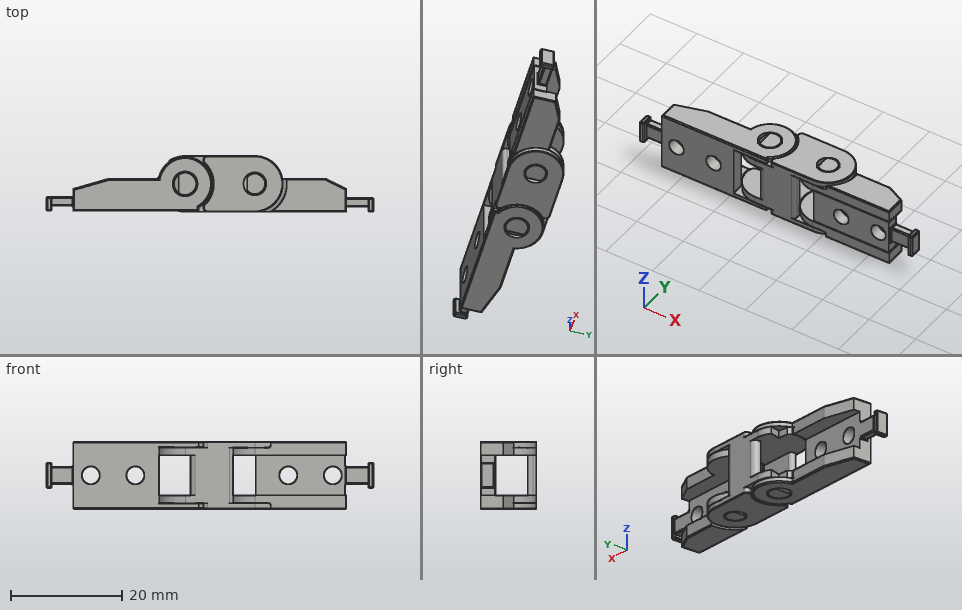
import cadquery as cq
import math


half_length = 29.4
half_width = 6.05

pivot_y = 5.025
knuckle_radius = pivot_y
left_pivot_x = -4.45
right_pivot_x = 8.05
clearance_radius = 5.15
boss_play = 0.25
left_hole_radius = 2.25
left_bevel_offset = 1.1
left_bevel_drop = 0.45
right_hole_radius = 2.05
right_flat_offset = 1.35

channel_half = 3.6
link_split_z = 5.0
layer_play = 0.05

arm_back_y = 5.95
arm_tip_y = 4.1
floor_thickness = 2.5
screw_radius = 1.6
screw_pitch = 8.0

left_tip_x = -24.55
left_slope_x = -18.2
left_front_y = 0.2
left_head_radius = pivot_y - left_front_y
left_foot_x = -2.05
left_window_x = -9.1
left_screw_x = -21.4
left_chamfer = 0.25

right_tip_x = 24.45
right_slope_x = 20.75
right_floor_x = 8.15
right_shoulder_radius = 5.75
right_shoulder_fillet = 0.35
right_screw_x = 22.05
right_chamfer = 0.2
panel_recess = 0.2

link_back_y = 2 * pivot_y
wall_thickness = 1.6
wall_left_x = -3.5
wall_right_x = 4.2
wall_right_round = 0.7
front_nose_radius = wall_thickness / 2
back_nose_radius = 1.2
horn_x = -1.2
horn_round = 0.7
horn_clearance_radius = 5.05
link_chamfer = 0.1
notch_start = (-5.05, 0.8)
notch_lip = (-4.35, 1.7)
notch_corner = (-2.2, 1.9)
notch_end = (-2.9, 4.35)

head_thickness = 1.0
head_half_width = 2.3
stem_half_width = 1.6
stem_thickness = 1.65
head_chamfer = 0.25
stem_chamfer = 0.25
stem_flare = 0.2


def block(x0, x1, y0, y1, z0, z1):
    """Box between two corners."""
    return cq.Workplane("XY").box(x1 - x0, y1 - y0, z1 - z0, centered=False).translate((x0, y0, z0))


def disc(pivot_x, radius, z0, z1):
    """Cylinder about a pivot axis."""
    return cq.Workplane("XY", origin=(pivot_x, pivot_y, z0)).circle(radius).extrude(z1 - z0)


def prism(points, z0, z1):
    """Polygon in X and Y extruded along Z."""
    return cq.Workplane("XY", origin=(0, 0, z0)).polyline(points).close().extrude(z1 - z0)


def both_sides(solid):
    """A feature of the +Z side together with its mirror image on the -Z side."""
    return solid.union(solid.mirror("XY"))


def left_boss():
    """Boss on the upper link ear, its top bevelled on the -X side."""
    radius = left_hole_radius - boss_play
    bevel = (
        cq.Workplane("XZ", origin=(left_pivot_x, pivot_y + radius, half_width))
        .polyline([(-left_bevel_offset, 0), (-radius, 0), (-radius, -left_bevel_drop)])
        .close()
        .extrude(2 * radius)
    )
    return disc(left_pivot_x, radius, link_split_z, half_width).cut(bevel)


def right_boss(z0):
    """Boss on the upper ear of the right arm, with a flat on its -X side."""
    radius = right_hole_radius - boss_play
    flat_x = right_pivot_x - right_flat_offset
    flat = block(right_pivot_x - radius, flat_x, pivot_y - radius, pivot_y + radius, z0, half_width)
    return disc(right_pivot_x, radius, z0, half_width).cut(flat)


def screw_holes(first_x, step):
    """Two holes through the floor of an arm, along Y."""
    return (
        cq.Workplane("XZ")
        .pushPoints([(first_x, 0), (first_x + step, 0)])
        .circle(screw_radius)
        .extrude(-arm_back_y)
    )


def tip_hook(tip_x, side, front_y):
    """Stem with a wider head at the outer end of an arm; side is -1 or +1 along X."""
    top_y = front_y + floor_thickness
    end_x = side * half_length
    neck_x = end_x - side * head_thickness
    stem_front_y = top_y - stem_thickness
    head_x0, head_x1 = sorted((end_x, neck_x))
    stem_x0, stem_x1 = sorted((tip_x, neck_x))
    head = (
        block(head_x0, head_x1, front_y, top_y, -head_half_width, head_half_width)
        .edges()
        .chamfer(head_chamfer)
    )
    stem = (
        block(stem_x0, stem_x1, stem_front_y, top_y, -stem_half_width, stem_half_width)
        .edges("|X")
        .chamfer(stem_chamfer)
    )
    flare = (
        cq.Workplane("YZ", origin=(tip_x, top_y - stem_thickness / 2, 0))
        .rect(stem_thickness + 2 * stem_flare, 2 * (stem_half_width + stem_flare))
        .extrude(side * stem_flare, taper=45)
        .intersect(block(-half_length, half_length, stem_front_y - stem_flare, top_y, -half_width, half_width))
    )
    return head.union(stem).union(flare)


def make_left_arm():
    head_start_x = left_pivot_x - math.sqrt(left_head_radius**2 - (arm_back_y - pivot_y) ** 2)
    foot_y = pivot_y - math.sqrt(left_head_radius**2 - (left_foot_x - left_pivot_x) ** 2)
    diagonal = left_head_radius * math.sqrt(0.5)
    arm = (
        cq.Workplane("XY", origin=(0, 0, -half_width))
        .moveTo(left_foot_x, left_front_y)
        .lineTo(left_tip_x, left_front_y)
        .lineTo(left_tip_x, arm_tip_y)
        .lineTo(left_slope_x, arm_back_y)
        .lineTo(head_start_x, arm_back_y)
        .threePointArc((left_pivot_x + diagonal, pivot_y + diagonal), (left_foot_x, foot_y))
        .close()
        .extrude(2 * half_width)
        .faces("|Z")
        .chamfer(left_chamfer)
    )
    slot_half = link_split_z + layer_play
    arm = arm.cut(disc(left_pivot_x, clearance_radius, -slot_half, slot_half))
    arm = arm.cut(block(left_window_x, half_length, 0, link_back_y, -slot_half, slot_half))
    floor_y = left_front_y + floor_thickness
    arm = arm.cut(block(left_tip_x, left_window_x, floor_y, link_back_y, -channel_half, channel_half))
    arm = arm.cut(disc(left_pivot_x, left_hole_radius, -half_width, half_width))
    arm = arm.cut(screw_holes(left_screw_x, screw_pitch))
    return arm.union(tip_hook(left_tip_x, -1, left_front_y))


def nosed_wall(y0, y1, outer_side):
    """Link wall with a half-round left end and its outer right edge rounded."""
    radius = (y1 - y0) / 2
    nose_x = wall_left_x + radius
    nose = (
        cq.Workplane("XY", origin=(nose_x, y0 + radius, -channel_half))
        .circle(radius)
        .extrude(2 * channel_half)
    )
    return (
        block(nose_x, wall_right_x, y0, y1, -channel_half, channel_half)
        .edges(f"|Z and >X and {outer_side}")
        .fillet(wall_right_round)
        .union(nose)
    )


def make_link():
    right_clearance = disc(right_pivot_x, clearance_radius, -link_split_z, link_split_z)

    ear = (
        block(left_pivot_x, wall_right_x, 0, link_back_y, channel_half, link_split_z)
        .edges("|Z and >X")
        .fillet(wall_right_round)
        .union(disc(left_pivot_x, knuckle_radius, channel_half, link_split_z))
    )
    notch_points = [notch_start, notch_lip, notch_corner, notch_end, (notch_start[0], notch_end[1])]
    notch = prism(
        [(left_pivot_x + dx, pivot_y + dy) for dx, dy in notch_points], channel_half, link_split_z
    )
    ear = ear.cut(notch).cut(right_clearance)

    plate = (
        block(horn_x, right_pivot_x, 0, link_back_y, link_split_z, half_width)
        .edges("|Z and <X")
        .fillet(horn_round)
        .union(disc(right_pivot_x, knuckle_radius, link_split_z, half_width))
        .cut(disc(left_pivot_x, horn_clearance_radius, link_split_z, half_width))
        .faces(">Z")
        .chamfer(link_chamfer)
        .cut(disc(right_pivot_x, right_hole_radius, link_split_z, half_width))
    )

    front_wall = nosed_wall(0, 2 * front_nose_radius, "<Y")
    back_wall = nosed_wall(link_back_y - 2 * back_nose_radius, link_back_y, ">Y")
    back_wall = back_wall.intersect(
        block(wall_left_x, wall_right_x, link_back_y - wall_thickness, link_back_y, -channel_half, channel_half)
    )
    walls = front_wall.union(back_wall).cut(right_clearance)

    side = ear.union(plate).union(left_boss())
    return walls.union(both_sides(side))


def make_right_arm():
    ear_z = link_split_z - layer_play
    outline = [
        (right_pivot_x, 0),
        (right_tip_x, 0),
        (right_tip_x, arm_tip_y),
        (right_slope_x, arm_back_y),
        (right_pivot_x, arm_back_y),
    ]
    shoulder_relief = (
        disc(right_pivot_x, right_shoulder_radius, ear_z, half_width)
        .faces("<Z")
        .edges()
        .fillet(right_shoulder_fillet)
    )
    flange = prism(outline, ear_z, half_width).faces(">Z").chamfer(right_chamfer).cut(shoulder_relief)
    ear = prism(outline, channel_half, ear_z).union(disc(right_pivot_x, knuckle_radius, channel_half, ear_z))
    side = flange.union(ear).union(right_boss(ear_z))

    floor = block(
        right_floor_x, right_tip_x - panel_recess, panel_recess, floor_thickness, -channel_half, channel_half
    )
    arm = floor.union(both_sides(side))
    arm = arm.cut(screw_holes(right_screw_x, -screw_pitch))
    hook = tip_hook(right_tip_x - panel_recess, 1, 0)
    return arm.union(hook)


left_arm = make_left_arm()
link = make_link()
right_arm = make_right_arm()

result = cq.Compound.makeCompound([left_arm.val(), link.val(), right_arm.val()])